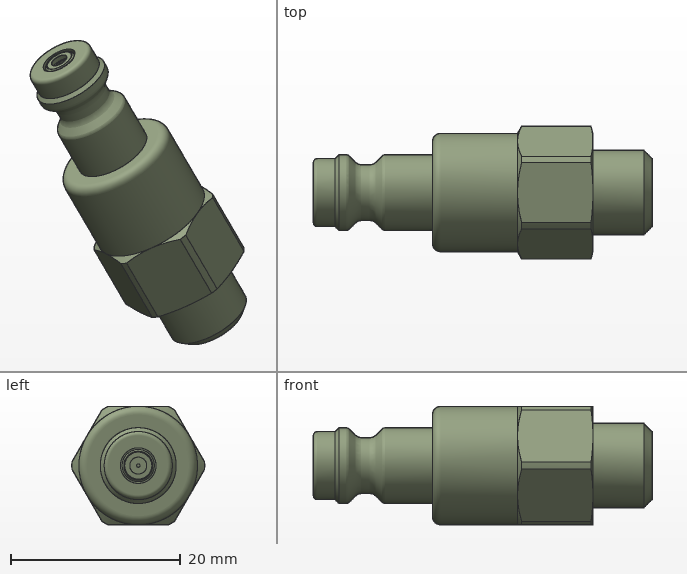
import cadquery as cq
import math

TOTAL_LENGTH = 40.0
COLLAR_START = 3.03
COLLAR_END = 4.1
SHANK_START = 8.28
BODY_START = 14.05
HEX_START = 24.1
HEX_END = 33.0

TIP_DIAMETER = 8.05
PLUG_DIAMETER = 8.96
NECK_DIAMETER = 6.6
BODY_DIAMETER = 14.0
SPIGOT_DIAMETER = 10.0

HEX_SIDES = 6
HEX_ACROSS_FLATS = 14.0
HEX_CORNER_DIAMETER = 15.7
FRONT_BEVEL_ANGLE = 30.0
REAR_BEVEL_ANGLE = 15.0

TIP_FILLET = 0.5
GROOVE_EDGE_FILLET = 0.5
GROOVE_ROOT_FILLET = 1.0
BODY_FILLET = 1.0
SPIGOT_CHAMFER = 1.0

VALVE_BORE_DIAMETER = 4.2
VALVE_DIAMETER = 3.8
VALVE_GAP_DEPTH = 1.0
VALVE_CHAMFER = 0.2
VALVE_HOLE_DIAMETER = 2.0
VALVE_LIP_THICKNESS = 0.05
CAVITY_DIAMETER = 3.2
CAVITY_CONE_START = 0.9
CAVITY_STEP = 0.1
CAVITY_DEPTH = 2.5
PIN_DIAMETER = 0.4
PIN_RECESS = 0.55


def cylinder(diameter, start, end):
    """Cylinder on the X axis between two stations."""
    return cq.Workplane("YZ", origin=(start, 0, 0)).circle(diameter / 2).extrude(end - start)


def revolve_about_x(points):
    """Solid of revolution from (x, radius) points."""
    return cq.Workplane("XY").polyline(points).close().revolve(360, (0, 0, 0), (1, 0, 0))


def round_edges_at(solid, station, diameter, radius):
    """Fillet the circular edge of a given diameter at a given station."""
    margin = 0.01
    reach = diameter / 2 + margin
    box = cq.selectors.BoxSelector(
        (station - margin, -reach, -reach), (station + margin, reach, reach), boundingbox=True
    )
    return solid.edges(box).fillet(radius)


def make_plug():
    """Tip, collar, 45 degree locking groove and shank."""
    tip_radius = TIP_DIAMETER / 2
    plug_radius = PLUG_DIAMETER / 2
    neck_radius = NECK_DIAMETER / 2
    groove_depth = plug_radius - neck_radius
    neck_start = COLLAR_END + groove_depth
    neck_end = SHANK_START - groove_depth
    plug = revolve_about_x([
        (0, 0),
        (0, tip_radius),
        (COLLAR_START - (plug_radius - tip_radius), tip_radius),
        (COLLAR_START, plug_radius),
        (COLLAR_END, plug_radius),
        (neck_start, neck_radius),
        (neck_end, neck_radius),
        (SHANK_START, plug_radius),
        (BODY_START, plug_radius),
        (BODY_START, 0),
    ])
    plug = round_edges_at(plug, 0, TIP_DIAMETER, TIP_FILLET)
    for station in (COLLAR_END, SHANK_START):
        plug = round_edges_at(plug, station, PLUG_DIAMETER, GROOVE_EDGE_FILLET)
    for station in (neck_start, neck_end):
        plug = round_edges_at(plug, station, NECK_DIAMETER, GROOVE_ROOT_FILLET)
    return plug


def make_body():
    """Round body with a filleted front edge."""
    return cylinder(BODY_DIAMETER, BODY_START, HEX_START).faces("<X").edges().fillet(BODY_FILLET)


def make_hexagon():
    """Hexagon with flats facing +Z and -Z, corners turned down and both ends bevelled."""
    corner_radius = HEX_CORNER_DIAMETER / 2
    flat_radius = HEX_ACROSS_FLATS / 2
    across_corners = HEX_ACROSS_FLATS / math.cos(math.pi / HEX_SIDES)
    prism = (
        cq.Workplane("YZ", origin=(HEX_START, 0, 0))
        .polygon(HEX_SIDES, across_corners)
        .extrude(HEX_END - HEX_START)
    )
    bevel_width = corner_radius - flat_radius
    front_bevel = bevel_width * math.tan(math.radians(FRONT_BEVEL_ANGLE))
    rear_bevel = bevel_width * math.tan(math.radians(REAR_BEVEL_ANGLE))
    envelope = revolve_about_x([
        (HEX_START, 0),
        (HEX_START, flat_radius),
        (HEX_START + front_bevel, corner_radius),
        (HEX_END - rear_bevel, corner_radius),
        (HEX_END, flat_radius),
        (HEX_END, 0),
    ])
    return prism.intersect(envelope)


def make_spigot():
    """Round rear end with a chamfered tip."""
    return cylinder(SPIGOT_DIAMETER, HEX_END, TOTAL_LENGTH).faces(">X").edges().chamfer(SPIGOT_CHAMFER)


def cut_valve(solid):
    """Valve in the tip: ring gap around a chamfered plunger hiding a stepped cavity and a centre pin."""
    plunger = cylinder(VALVE_DIAMETER, 0, VALVE_GAP_DEPTH).faces("<X").edges().chamfer(VALVE_CHAMFER)
    gap = cylinder(VALVE_BORE_DIAMETER, 0, VALVE_GAP_DEPTH).cut(plunger)
    hole_radius = VALVE_HOLE_DIAMETER / 2
    cavity_radius = CAVITY_DIAMETER / 2
    inner_radius = cavity_radius - CAVITY_STEP
    cavity = revolve_about_x([
        (0, 0),
        (0, hole_radius),
        (VALVE_LIP_THICKNESS, hole_radius),
        (VALVE_LIP_THICKNESS, cavity_radius),
        (CAVITY_CONE_START, cavity_radius),
        (CAVITY_CONE_START + CAVITY_STEP, inner_radius),
        (CAVITY_DEPTH, inner_radius),
        (CAVITY_DEPTH, 0),
    ])
    pin = cylinder(PIN_DIAMETER, PIN_RECESS, CAVITY_DEPTH)
    return solid.cut(gap).cut(cavity.cut(pin))


outside = make_plug().union(make_body()).union(make_hexagon()).union(make_spigot())
result = cut_valve(outside)